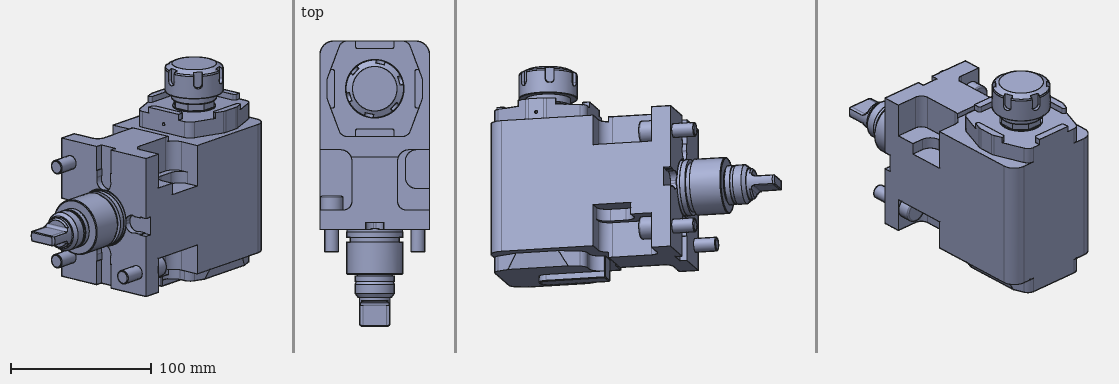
import cadquery as cq
import math


OVERALL_LENGTH = 202.8
OVERALL_HEIGHT = 154.5

BODY_WIDTH = 78.0
BODY_BACK = 134.0
REAR_HALF_HEIGHT = 47.7
FRONT_HALF_HEIGHT = 51.3
FRONT_DEPTH = 51.5
BACK_CORNER_RADIUS = 10.0

NOTCH_FRONT = 14.0
NOTCH_BACK = 56.8
NOTCH_INNER_X = 16.2
NOTCH_FLOOR_Z = 26.2
NOTCH_FRONT_RADIUS = 6.0
NOTCH_BACK_RADIUS = 8.1
POCKET_FRONT = 29.2
POCKET_INNER_X = 21.7
POCKET_FLOOR_Z = 17.6

BOLT_X = 30.6
BOLT_Z = 34.9
BOLT_DIAMETER = 10.0
BOLT_TIP_Y = -16.0
BOLT_TIP_CHAMFER = 0.6
BOLT_HEAD_DIAMETER = 16.0
BOLT_HEAD_HEIGHT = 9.7
BOLT_HEAD_ROUND = 1.0

SLOT_DEPTH = 5.0
SLOT_OUTER_WIDTH = 13.2
SLOT_INNER_WIDTH = 12.2
SLOT_STEP_RADIUS = 33.7
SLOT_END_RADIUS = 6.5
SLOT_END_CENTRE = 26.4

SHANK_DIAMETER = 40.0
SHANK_RELIEF_DIAMETER = 39.5
SHANK_GROOVE_DIAMETER = 35.0
SHANK_RECESS_DIAMETER = 41.5
SHANK_RECESS_DEPTH = (SHANK_RECESS_DIAMETER - SHANK_DIAMETER) / 2
SHANK_RELIEF_END = 1.6
COLLAR_END = 5.5
GROOVE_END = 9.0
SHANK_END = 31.8
SHANK_CHAMFER = 0.6
NECK_DIAMETER = 25.0
NECK_END = 32.9
PILOT_DIAMETER = 28.0
PILOT_GROOVE_DIAMETER = 26.4
PILOT_GROOVE_START = 36.7
PILOT_GROOVE_END = 39.0
PILOT_END = 48.0
PILOT_CHAMFER_LENGTH = 2.8
PILOT_CHAMFER_DEPTH = 2.0
TANG_DIAMETER = 22.0
TANG_SHOULDER = 51.5
TANG_SHOULDER_CHAMFER = 1.2
TANG_END = OVERALL_LENGTH - BODY_BACK
TANG_THICKNESS = 7.3
TANG_ROOT_RADIUS = 2.2
TANG_FLAT_WIDTH = 16.6
TANG_EDGE_DROP = 0.6
TANG_TIP_BEVEL = 0.8
TANG_TIP_CHAMFER = 1.5

PLATE_SIZE = 68.0
PLATE_HALF_SIZE = PLATE_SIZE / 2
PLATE_FLAT_HALF_Y = 6.7
PLATE_FLAT_HALF_X = 23.7
PLATE_CORNER_RADIUS = 6.0
SPINDLE_Y = BODY_BACK - PLATE_HALF_SIZE
PLATE_FRONT = BODY_BACK - PLATE_SIZE
PLATE_TOP = 59.5
TAB_TOP = 63.7
TAB_LENGTH = 27.5
TAB_DEPTH = 5.5
TAB_CORNER_RADIUS = 1.8
OIL_HOLE_DIAMETER = 2.0
OIL_HOLE_DEPTH = 2.0
OIL_HOLE_Z = 53.7

LOWER_PLATE_BOTTOM = -58.6
LOWER_SIDE_TOP_X = 30.6
LOWER_SIDE_BOTTOM_X = 28.2
KEY_WIDTH = 13.0
KEY_FRONT = 56.4
KEY_BOTTOM = -63.5
KEY_CHAMFER = 0.6
KEY_ROOT_RADIUS = 9.0

SPINDLE_DISC_DIAMETER = 30.5
SPINDLE_DISC_HEIGHT = 0.6
SPINDLE_NECK_WIDTH = 27.5
SPINDLE_FACETS = 8
SPINDLE_COLLAR_BOTTOM = 64.9
SPINDLE_COLLAR_DIAMETER = 32.0
SPINDLE_COLLAR_CHAMFER = 0.8
NUT_BOTTOM = 70.8
NUT_TOP = KEY_BOTTOM + OVERALL_HEIGHT
NUT_DIAMETER = 41.5
NUT_FACE_DIAMETER = 31.6
NUT_BOTTOM_CHAMFER = 0.5
NUT_BEVEL_HEIGHT = 2.5
NUT_EDGE_DROP = 1.2
NUT_EDGE_INSET = 0.5
NUT_SLOTS = 6
NUT_SLOT_WIDTH = 6.3
NUT_SLOT_BOTTOM = 78.3
NUT_SLOT_FLOOR_RADIUS = 18.0
NUT_FIRST_SLOT_ANGLE = 18


def box(x0, x1, y0, y1, z0, z1):
    """Axis-aligned box between two opposite corners."""
    return cq.Workplane("XY").box(x1 - x0, y1 - y0, z1 - z0, centered=False).translate((x0, y0, z0))


def y_cylinder(diameter, y0, y1, x=0, z=0):
    """Cylinder along Y between two depths."""
    return cq.Workplane("XZ", origin=(x, y0, z)).circle(diameter / 2).extrude(y0 - y1)


def make_housing():
    half = BODY_WIDTH / 2
    rear = box(-half, half, 0, BODY_BACK, -REAR_HALF_HEIGHT, REAR_HALF_HEIGHT)
    rear = rear.edges("|Z and >Y").fillet(BACK_CORNER_RADIUS)
    front = box(-half, half, 0, FRONT_DEPTH, -FRONT_HALF_HEIGHT, FRONT_HALF_HEIGHT)
    return rear.union(front)


def side_notch(inner_x, front, floor_z, front_radius):
    """Notch for the +X, +Z edge, open to the outside and upwards."""
    notch = box(inner_x, BODY_WIDTH, front, NOTCH_BACK, floor_z, 2 * FRONT_HALF_HEIGHT)
    notch = notch.edges("|Z and <X and <Y").fillet(front_radius)
    return notch.edges("|Z and <X and >Y").fillet(NOTCH_BACK_RADIUS)


def make_notches():
    """Notches in all four long edges; two opposite ones hold a deeper pocket."""
    notch = side_notch(NOTCH_INNER_X, NOTCH_FRONT, NOTCH_FLOOR_Z, NOTCH_FRONT_RADIUS)
    pocket = side_notch(POCKET_INNER_X, POCKET_FRONT, POCKET_FLOOR_Z, NOTCH_BACK_RADIUS)
    deep_notch = notch.union(pocket)
    upper = deep_notch.union(notch.mirror("YZ"))
    return upper.union(upper.rotate((0, 0, 0), (0, 1, 0), 180))


def make_bolt(x, z):
    head_top = NOTCH_FRONT + BOLT_HEAD_HEIGHT
    shank = y_cylinder(BOLT_DIAMETER, BOLT_TIP_Y, NOTCH_FRONT, x, z)
    shank = shank.faces("<Y").chamfer(BOLT_TIP_CHAMFER)
    head = y_cylinder(BOLT_HEAD_DIAMETER, NOTCH_FRONT, head_top, x, z)
    return shank.union(head.faces(">Y").edges().fillet(BOLT_HEAD_ROUND))


def make_key_slots():
    """Four stepped slots running from the edges of the mounting face to the shank."""
    outer_half = SLOT_OUTER_WIDTH / 2
    inner_half = SLOT_INNER_WIDTH / 2
    slot = box(-outer_half, outer_half, 0, SLOT_DEPTH, SLOT_STEP_RADIUS, 2 * FRONT_HALF_HEIGHT)
    slot = slot.union(box(-inner_half, inner_half, 0, SLOT_DEPTH, SLOT_END_CENTRE, SLOT_STEP_RADIUS))
    slot = slot.union(y_cylinder(2 * SLOT_END_RADIUS, 0, SLOT_DEPTH, z=SLOT_END_CENTRE))
    slots = slot
    for angle in (90, 180, 270):
        slots = slots.union(slot.rotate((0, 0, 0), (0, 1, 0), angle))
    return slots


def make_shank_recess():
    """Conical countersink around the shank in the mounting face."""
    return (
        cq.Workplane("XZ")
        .circle(SHANK_RECESS_DIAMETER / 2)
        .workplane(offset=-SHANK_RECESS_DEPTH)
        .circle(SHANK_DIAMETER / 2)
        .loft()
    )


def make_tang():
    """Flat driving tang, rounded into its shoulder and bevelled at its edges."""
    half = TANG_THICKNESS / 2
    root = half + TANG_ROOT_RADIUS
    root_end = TANG_SHOULDER + TANG_ROOT_RADIUS
    reach = TANG_DIAMETER
    arc_offset = TANG_ROOT_RADIUS * (1 - math.sqrt(0.5))

    side = (
        cq.Workplane("YZ")
        .moveTo(-PILOT_END, reach)
        .lineTo(-TANG_SHOULDER, reach)
        .lineTo(-TANG_SHOULDER, root)
        .threePointArc((-TANG_SHOULDER - arc_offset, half + arc_offset), (-root_end, half))
        .lineTo(-TANG_END + TANG_TIP_BEVEL, half)
        .lineTo(-TANG_END, half - TANG_EDGE_DROP)
        .lineTo(-TANG_END, 0)
        .lineTo(-PILOT_END, 0)
        .close()
        .extrude(reach, both=True)
    )
    side = side.union(side.mirror("XY"))

    radius = TANG_DIAMETER / 2
    round_bar = y_cylinder(TANG_DIAMETER, -TANG_SHOULDER, -PILOT_END)
    round_bar = round_bar.faces("<Y").chamfer(TANG_SHOULDER_CHAMFER)
    blade = y_cylinder(TANG_DIAMETER, -TANG_END, -PILOT_END)
    blade = blade.faces("<Y").chamfer(TANG_TIP_CHAMFER)
    blade = blade.intersect(box(-radius, radius, -TANG_END, -PILOT_END, -root, root))

    flat_half = TANG_FLAT_WIDTH / 2
    bevel_z = half - TANG_EDGE_DROP
    bevels = (
        cq.Workplane("XZ", origin=(0, -root_end, 0))
        .polyline([
            (-radius, bevel_z), (-flat_half, half), (flat_half, half), (radius, bevel_z),
            (radius, -bevel_z), (flat_half, -half), (-flat_half, -half), (-radius, -bevel_z),
        ])
        .close()
        .extrude(TANG_END - root_end)
    )
    root_zone = box(-radius, radius, -root_end, -PILOT_END, -radius, radius)
    return round_bar.union(blade).intersect(side).intersect(root_zone.union(bevels))


def make_shank():
    """Turned shank; it is let into the housing as deep as the key slots."""
    shank = SHANK_DIAMETER / 2
    relief = SHANK_RELIEF_DIAMETER / 2
    groove = SHANK_GROOVE_DIAMETER / 2
    neck = NECK_DIAMETER / 2
    pilot = PILOT_DIAMETER / 2
    pilot_groove = PILOT_GROOVE_DIAMETER / 2
    profile = (
        cq.Workplane("XY")
        .moveTo(0, SLOT_DEPTH)
        .lineTo(shank, SLOT_DEPTH)
        .lineTo(shank, SHANK_RECESS_DEPTH)
        .lineTo(relief, SHANK_RECESS_DEPTH)
        .lineTo(relief, -SHANK_RELIEF_END)
        .lineTo(shank, -SHANK_RELIEF_END)
        .lineTo(shank, -COLLAR_END)
        .lineTo(groove, -COLLAR_END)
        .lineTo(groove, -GROOVE_END)
        .lineTo(shank, -GROOVE_END)
        .lineTo(shank, -SHANK_END + SHANK_CHAMFER)
        .lineTo(shank - SHANK_CHAMFER, -SHANK_END)
        .lineTo(neck, -SHANK_END)
        .lineTo(neck, -NECK_END)
        .lineTo(pilot, -NECK_END)
        .lineTo(pilot, -PILOT_GROOVE_START)
        .lineTo(pilot_groove, -PILOT_GROOVE_START)
        .lineTo(pilot, -PILOT_GROOVE_END)
        .lineTo(pilot, -PILOT_END + PILOT_CHAMFER_LENGTH)
        .lineTo(pilot - PILOT_CHAMFER_DEPTH, -PILOT_END)
        .lineTo(0, -PILOT_END)
        .close()
    )
    return profile.revolve(360, (0, 0, 0), (0, 1, 0)).union(make_tang())


def plate(z0, z1):
    """Eight-sided plate with rounded corners, centred on the spindle."""
    size = PLATE_HALF_SIZE
    flat_x = PLATE_FLAT_HALF_X
    flat_y = PLATE_FLAT_HALF_Y
    outline = cq.Workplane("XY", origin=(0, SPINDLE_Y, z0)).polyline([
        (-size, -flat_y), (-flat_x, -size), (flat_x, -size), (size, -flat_y),
        (size, flat_y), (flat_x, size), (-flat_x, size), (-size, flat_y),
    ]).close()
    return outline.extrude(z1 - z0).edges("|Z").fillet(PLATE_CORNER_RADIUS)


def make_upper_plate():
    """Plate with four upright tabs and two oil holes."""
    base = plate(REAR_HALF_HEIGHT, PLATE_TOP)
    tab_outline = plate(PLATE_TOP, TAB_TOP)
    bar_centre = PLATE_HALF_SIZE - TAB_DEPTH / 2
    bar = (
        cq.Workplane("XY", origin=(0, -bar_centre, PLATE_TOP))
        .rect(TAB_LENGTH, TAB_DEPTH)
        .extrude(TAB_TOP - PLATE_TOP)
        .edges("|Z and >Y")
        .fillet(TAB_CORNER_RADIUS)
    )
    for angle in (0, 90, 180, 270):
        placed_bar = bar.rotate((0, 0, 0), (0, 0, 1), angle).translate((0, SPINDLE_Y, 0))
        base = base.union(placed_bar.intersect(tab_outline))

    front_hole = y_cylinder(OIL_HOLE_DIAMETER, PLATE_FRONT, PLATE_FRONT + OIL_HOLE_DEPTH, z=OIL_HOLE_Z)
    side_hole = front_hole.rotate((0, SPINDLE_Y, 0), (0, SPINDLE_Y, 1), -90)
    return base.cut(front_hole).cut(side_hole)


def make_lower_plate():
    """Plate with sloped sides, a rounded locating key and a filleted key root."""
    base = plate(LOWER_PLATE_BOTTOM, -REAR_HALF_HEIGHT)
    sloped_sides = (
        cq.Workplane("XZ", origin=(0, BODY_BACK, 0))
        .polyline([
            (-LOWER_SIDE_TOP_X, -REAR_HALF_HEIGHT), (LOWER_SIDE_TOP_X, -REAR_HALF_HEIGHT),
            (LOWER_SIDE_BOTTOM_X, LOWER_PLATE_BOTTOM), (-LOWER_SIDE_BOTTOM_X, LOWER_PLATE_BOTTOM),
        ])
        .close()
        .extrude(PLATE_SIZE)
    )
    base = base.intersect(sloped_sides)

    half = KEY_WIDTH / 2
    key = (
        box(-half, half, KEY_FRONT, SPINDLE_Y, KEY_BOTTOM, -REAR_HALF_HEIGHT)
        .union(cq.Workplane("XY", origin=(0, SPINDLE_Y, KEY_BOTTOM)).circle(half)
               .extrude(-REAR_HALF_HEIGHT - KEY_BOTTOM))
        .edges("(|Z and <Y) or <Z")
        .chamfer(KEY_CHAMFER)
    )

    root_half = half + KEY_ROOT_RADIUS
    root = box(-root_half, root_half, PLATE_FRONT - KEY_ROOT_RADIUS, PLATE_FRONT,
               LOWER_PLATE_BOTTOM, -REAR_HALF_HEIGHT)
    rounds = (
        cq.Workplane("XY", origin=(0, PLATE_FRONT - KEY_ROOT_RADIUS, LOWER_PLATE_BOTTOM))
        .pushPoints([(-root_half, 0), (root_half, 0)])
        .circle(KEY_ROOT_RADIUS)
        .extrude(-REAR_HALF_HEIGHT - LOWER_PLATE_BOTTOM)
    )
    return base.union(root.cut(rounds)).union(key)


def z_cylinder(diameter, z0, z1):
    """Cylinder on the spindle axis between two heights."""
    return cq.Workplane("XY", origin=(0, SPINDLE_Y, z0)).circle(diameter / 2).extrude(z1 - z0)


def make_spindle():
    """Disc, eight-sided neck and collar below the clamping nut."""
    disc = z_cylinder(SPINDLE_DISC_DIAMETER, PLATE_TOP, PLATE_TOP + SPINDLE_DISC_HEIGHT)
    corner_diameter = SPINDLE_NECK_WIDTH / math.cos(math.pi / SPINDLE_FACETS)
    neck = (
        cq.Workplane("XY", origin=(0, SPINDLE_Y, PLATE_TOP))
        .polygon(SPINDLE_FACETS, corner_diameter)
        .extrude(SPINDLE_COLLAR_BOTTOM - PLATE_TOP)
        .rotate((0, SPINDLE_Y, 0), (0, SPINDLE_Y, 1), 180 / SPINDLE_FACETS)
    )
    collar = z_cylinder(SPINDLE_COLLAR_DIAMETER, SPINDLE_COLLAR_BOTTOM, NUT_BOTTOM)
    collar = collar.faces("<Z").chamfer(SPINDLE_COLLAR_CHAMFER)
    return disc.union(neck).union(collar)


def make_nut():
    """Clamping nut with a bevelled top and round-bottomed spanner slots."""
    radius = NUT_DIAMETER / 2
    bevel_z = NUT_TOP - NUT_BEVEL_HEIGHT
    nut = (
        cq.Workplane("XZ")
        .polyline([
            (0, NUT_BOTTOM), (radius - NUT_BOTTOM_CHAMFER, NUT_BOTTOM),
            (radius, NUT_BOTTOM + NUT_BOTTOM_CHAMFER), (radius, bevel_z - NUT_EDGE_DROP),
            (radius - NUT_EDGE_INSET, bevel_z), (NUT_FACE_DIAMETER / 2, NUT_TOP), (0, NUT_TOP),
        ])
        .close()
        .revolve(360, (0, 0, 0), (0, 1, 0))
    )
    half = NUT_SLOT_WIDTH / 2
    slot_centre_z = NUT_SLOT_BOTTOM + half
    slot = (
        cq.Workplane("YZ", origin=(NUT_SLOT_FLOOR_RADIUS, 0, 0))
        .moveTo(-half, NUT_TOP)
        .lineTo(-half, slot_centre_z)
        .threePointArc((0, NUT_SLOT_BOTTOM), (half, slot_centre_z))
        .lineTo(half, NUT_TOP)
        .close()
        .extrude(radius)
    )
    for i in range(NUT_SLOTS):
        angle = NUT_FIRST_SLOT_ANGLE + i * 360 / NUT_SLOTS
        nut = nut.cut(slot.rotate((0, 0, 0), (0, 0, 1), angle))
    return nut.translate((0, SPINDLE_Y, 0))


result = make_housing().cut(make_notches()).cut(make_key_slots()).cut(make_shank_recess())
result = result.union(make_shank())
for bolt_x, bolt_z in [(-BOLT_X, BOLT_Z), (-BOLT_X, -BOLT_Z), (BOLT_X, -BOLT_Z)]:
    result = result.union(make_bolt(bolt_x, bolt_z))
result = result.union(make_upper_plate()).union(make_lower_plate())
result = result.union(make_spindle()).union(make_nut())